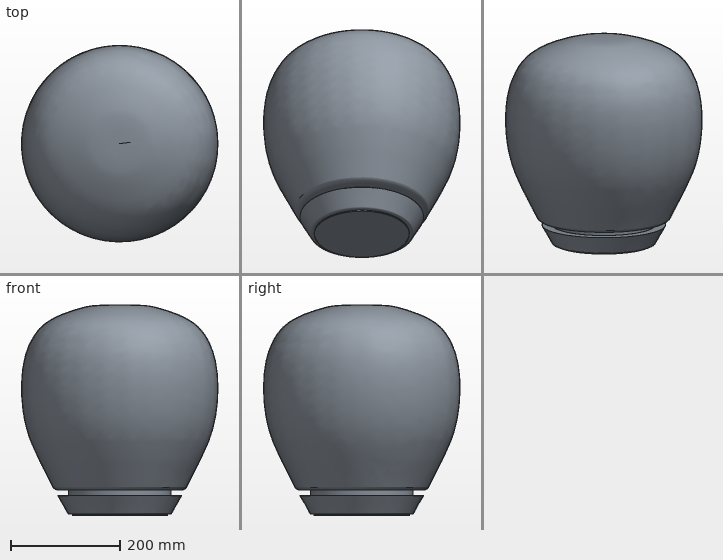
import cadquery as cq

total_height = 385.0

foot_radius = 87.0
foot_height = 2.5
base_bottom_radius = 94.0
base_top_radius = 113.0
base_top = 36.0
base_edge_round = 4.0

neck_radius = 94.0

shade_bottom = 46.0
rim_flat_radius = 109.0
rim_mid_radius = 117.8
rim_mid_height = 47.7
skirt_bottom_radius = 122.0
skirt_bottom = 51.0
skirt_top_radius = 167.0
skirt_top = 147.5
belly_radius = 179.7
belly_height = 233.0
shoulder_radius = 168.5
shoulder_height = 304.5
temple_radius = 137.8
temple_height = 349.5
crown_radius = 72.5
crown_height = 378.7


def make_base():
    """Flared dish with a rounded lower edge, on its foot."""
    dish = (
        cq.Workplane("XZ")
        .moveTo(0, foot_height)
        .lineTo(base_bottom_radius, foot_height)
        .lineTo(base_top_radius, base_top)
        .lineTo(0, base_top)
        .close()
        .revolve()
        .faces("<Z")
        .edges()
        .fillet(base_edge_round)
    )
    foot = cq.Workplane("XY").circle(foot_radius).extrude(foot_height)
    return dish.union(foot)


def make_neck():
    """Cylinder filling the gap between base and shade."""
    return (
        cq.Workplane("XY")
        .workplane(offset=base_top)
        .circle(neck_radius)
        .extrude(shade_bottom - base_top)
    )


def make_shade():
    """Body of revolution: rounded rim, nearly straight skirt, curved belly and dome."""
    skirt_direction = (skirt_top_radius - skirt_bottom_radius, skirt_top - skirt_bottom)
    inward = (-1, 0)
    wall_points = [
        (skirt_top_radius, skirt_top),
        (belly_radius, belly_height),
        (shoulder_radius, shoulder_height),
        (temple_radius, temple_height),
        (crown_radius, crown_height),
        (0, total_height),
    ]
    return (
        cq.Workplane("XZ")
        .moveTo(0, shade_bottom)
        .lineTo(rim_flat_radius, shade_bottom)
        .threePointArc((rim_mid_radius, rim_mid_height), (skirt_bottom_radius, skirt_bottom))
        .spline(wall_points, tangents=[skirt_direction, inward], includeCurrent=True)
        .close()
        .revolve()
    )


base = make_base()
neck = make_neck()
shade = make_shade()

result = cq.Compound.makeCompound([base.val(), neck.val(), shade.val()])